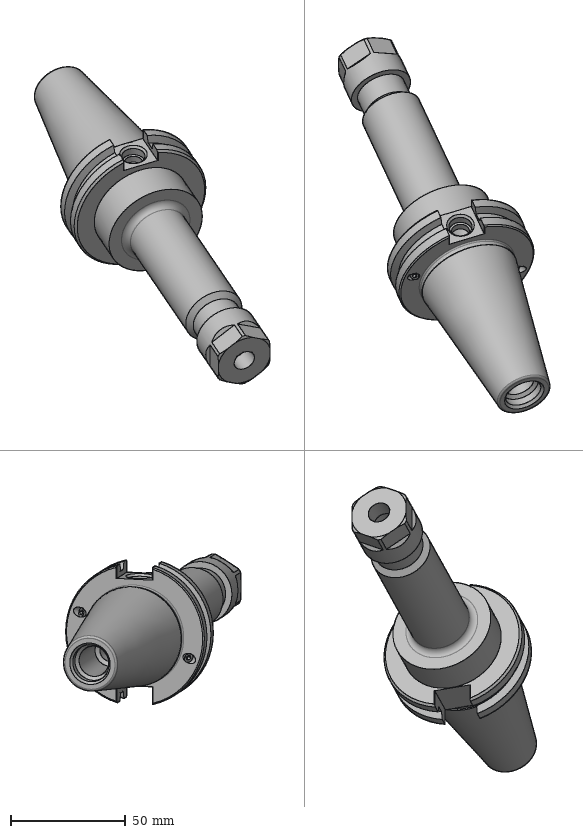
import cadquery as cq
import math

taper_end = 68.5
flange_front = 71.4
flange_back = 87.5
collar_end = 103.3
shank_end = 165.5
nut_start = 178.3
nut_hex_start = 189.4
total_length = 198.3

taper_dia = 44.5
relief_dia = 43.6
flange_dia = 63.3
collar_dia = 44.8
shank_dia = 27.0
neck_dia = 22.0
taper_ratio = 7 / 24

taper_tip_fillet = 1.0
flange_front_chamfer = 0.5
flange_back_chamfer = 1.0
flange_root_fillet = 0.5
shank_root_fillet = 3.0

groove_center = 79.3
groove_top_width = 6.3
groove_floor_width = 4.0
groove_floor_dia = 56.7

mouth_dia = 18.5
counterbore_dia = 16.5
thread_dia = 13.5
bore_dia = 9.7
mouth_depth = 1.4
counterbore_end = 4.8
thread_depth = 31.7
drill_tip_angle = 118

slot_width = 16.0
slot_chamfer = 0.4
top_slot_floor = 25.0
bottom_slot_floor = 22.6

pocket_dia = 10.1
pocket_rim_dia = 12.0
pocket_depth = 4.5
pocket_drill_dia = 8.0
pocket_drill_depth = 8.0

screw_dia = 4.2
screw_circle_radius = 26.5
screw_angles = (20, 200)
screw_tilt = 45
screw_recess = 0.8
screw_length = 6.0
socket_width = 2.0
socket_depth = 2.0

nut_dia = 27.8
nut_flat_distance = 24.8
nut_end_dia = 25.2
nut_end_chamfer = 0.5
hex_sides = 6


def cone_length(large_dia, small_dia, tip_angle):
    """Axial length of a cone frustum with the given included angle."""
    return (large_dia - small_dia) / 2 / math.tan(math.radians(tip_angle / 2))


def revolve_x(points):
    """Solid of revolution about X from (x, radius) points that close along the axis."""
    return cq.Workplane("XY").polyline(points).close().revolve(360, (0, 0, 0), (1, 0, 0))


def holder_blank():
    """Turned outline of the holder; the short cones behind the taper and shank slope at 45 degrees."""
    taper_radius = taper_dia / 2
    tip_radius = taper_radius - taper_end * taper_ratio / 2
    relief_radius = relief_dia / 2
    flange_radius = flange_dia / 2
    collar_radius = collar_dia / 2
    shank_radius = shank_dia / 2
    neck_radius = neck_dia / 2
    root = flange_root_fillet
    outline = (
        cq.Workplane("XY")
        .moveTo(0, 0)
        .lineTo(0, tip_radius)
        .lineTo(taper_end, taper_radius)
        .lineTo(taper_end + taper_radius - relief_radius, relief_radius)
        .lineTo(flange_front - root, relief_radius)
        .radiusArc((flange_front, relief_radius + root), -root)
        .lineTo(flange_front, flange_radius - flange_front_chamfer)
        .lineTo(flange_front + flange_front_chamfer, flange_radius)
        .lineTo(groove_center - groove_top_width / 2, flange_radius)
        .lineTo(groove_center - groove_floor_width / 2, groove_floor_dia / 2)
        .lineTo(groove_center + groove_floor_width / 2, groove_floor_dia / 2)
        .lineTo(groove_center + groove_top_width / 2, flange_radius)
        .lineTo(flange_back - flange_back_chamfer, flange_radius)
        .lineTo(flange_back, flange_radius - flange_back_chamfer)
        .lineTo(flange_back, collar_radius)
        .lineTo(collar_end, collar_radius)
        .lineTo(collar_end, shank_radius + shank_root_fillet)
        .radiusArc((collar_end + shank_root_fillet, shank_radius), -shank_root_fillet)
        .lineTo(shank_end, shank_radius)
        .lineTo(shank_end + shank_radius - neck_radius, neck_radius)
        .lineTo(nut_hex_start, neck_radius)
        .lineTo(nut_hex_start, 0)
        .close()
        .revolve(360, (0, 0, 0), (1, 0, 0))
    )
    return outline.faces("<X").edges().fillet(taper_tip_fillet)


def holder_bore():
    step = (counterbore_dia - thread_dia) / 2
    drill_end = thread_depth + cone_length(thread_dia, bore_dia, drill_tip_angle)
    return revolve_x([
        (0, 0),
        (0, mouth_dia / 2),
        (mouth_depth, counterbore_dia / 2),
        (counterbore_end, counterbore_dia / 2),
        (counterbore_end + step, thread_dia / 2),
        (thread_depth, thread_dia / 2),
        (drill_end, bore_dia / 2),
        (nut_hex_start, bore_dia / 2),
        (nut_hex_start, 0),
    ])


def drive_slot(floor, side):
    """Slot cutter above the floor height; side is +1 for the top and -1 for the bottom."""
    height = flange_dia / 2 - floor
    half_length = (flange_back - flange_front) / 2
    straight_half = half_length - slot_chamfer
    narrow = slot_width / 2
    wide = narrow + slot_chamfer
    cutter = (
        cq.Workplane("XY", origin=((flange_front + flange_back) / 2, 0, floor))
        .polyline([
            (-half_length, -wide),
            (-straight_half, -narrow),
            (straight_half, -narrow),
            (half_length, -wide),
            (half_length, wide),
            (straight_half, narrow),
            (-straight_half, narrow),
            (-half_length, wide),
        ])
        .close()
        .extrude(height)
    )
    return cutter if side > 0 else cutter.mirror("XY")


def slot_pocket():
    """Stepped round pocket with a chamfered rim, sunk into the top slot floor."""
    rim = (pocket_rim_dia - pocket_dia) / 2
    tip = cone_length(pocket_drill_dia, 0, drill_tip_angle)
    return (
        cq.Workplane("XZ")
        .polyline([
            (0, 0),
            (pocket_rim_dia / 2, 0),
            (pocket_dia / 2, -rim),
            (pocket_dia / 2, -pocket_depth),
            (pocket_drill_dia / 2, -pocket_depth),
            (pocket_drill_dia / 2, -pocket_drill_depth),
            (0, -pocket_drill_depth - tip),
        ])
        .close()
        .revolve(360, (0, 0, 0), (0, 1, 0))
        .translate(((flange_front + flange_back) / 2, 0, top_slot_floor))
    )


def screw_plane(angle):
    """Plane on the flange face whose normal runs down a screw hole, inward to the spindle axis."""
    out_y = math.cos(math.radians(angle))
    out_z = math.sin(math.radians(angle))
    inward = math.sin(math.radians(screw_tilt))
    origin = (flange_front, screw_circle_radius * out_y, screw_circle_radius * out_z)
    normal = (math.cos(math.radians(screw_tilt)), -inward * out_y, -inward * out_z)
    return cq.Plane(origin=origin, xDir=(0, -out_z, out_y), normal=normal)


def screw_hole(angle):
    start = -screw_dia
    depth = screw_recess + screw_length - start
    return cq.Workplane(screw_plane(angle)).workplane(offset=start).circle(screw_dia / 2).extrude(depth)


def make_holder():
    holder = holder_blank().cut(holder_bore())
    holder = holder.cut(drive_slot(top_slot_floor, 1)).cut(drive_slot(bottom_slot_floor, -1))
    holder = holder.cut(slot_pocket())
    for angle in screw_angles:
        holder = holder.cut(screw_hole(angle))
    return holder


def make_screw(angle):
    """Headless plug screw with a hexagon socket."""
    head = cq.Workplane(screw_plane(angle)).workplane(offset=screw_recess)
    socket = head.polygon(hex_sides, socket_width, circumscribed=True).extrude(socket_depth)
    return head.circle(screw_dia / 2).extrude(screw_length).cut(socket)


def nut_flat_cutter():
    """Cutter for the wrench flat facing +Y, with a 45 degree run-out towards the nut's round part."""
    flat = nut_flat_distance / 2
    rise = nut_dia / 2 - flat
    return (
        cq.Workplane("XY")
        .polyline([
            (nut_hex_start, flat),
            (total_length, flat),
            (total_length, flat + rise),
            (nut_hex_start - rise, flat + rise),
        ])
        .close()
        .extrude(nut_dia / 2, both=True)
    )


def make_nut():
    nut = revolve_x([
        (nut_start, 0),
        (nut_start, nut_dia / 2),
        (total_length - nut_end_chamfer, nut_dia / 2),
        (total_length, nut_end_dia / 2),
        (total_length, 0),
    ])
    for index in range(hex_sides):
        nut = nut.cut(nut_flat_cutter().rotate((0, 0, 0), (1, 0, 0), index * 360 / hex_sides))
    neck_recess = (
        cq.Workplane("YZ", origin=(nut_start, 0, 0)).circle(neck_dia / 2).extrude(nut_hex_start - nut_start)
    )
    through_hole = (
        cq.Workplane("YZ", origin=(nut_start, 0, 0)).circle(bore_dia / 2).extrude(total_length - nut_start)
    )
    return nut.cut(neck_recess).cut(through_hole)


holder = make_holder().solids()
nut = make_nut().solids()
screws = [make_screw(angle).solids() for angle in screw_angles]

result = cq.Compound.makeCompound([holder.val(), nut.val(), *[screw.val() for screw in screws]])